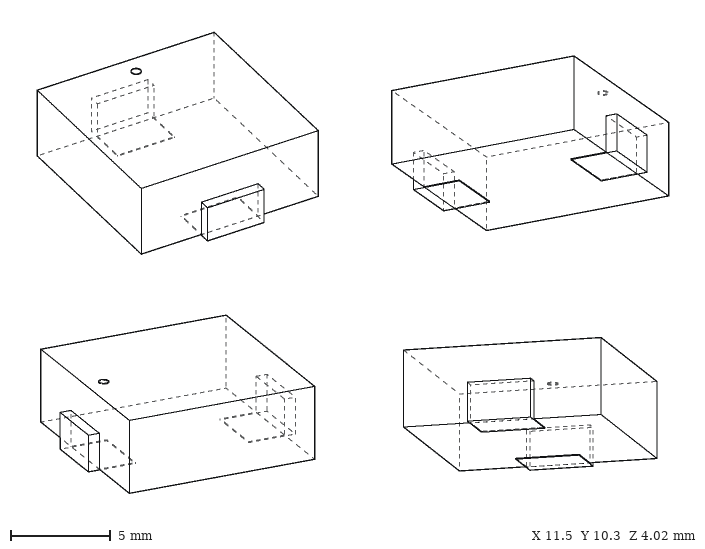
import cadquery as cq

overall_length = 11.51
overall_height = 4.02
body_side = 10.31

terminal_width = 3.3
terminal_height = 2.0
foot_length = 2.6
standoff = 0.05
plate_thickness = (overall_length - body_side) / 2

dot_diameter = 0.52
dot_depth = 0.05
dot_x = -4.12


def make_dot():
    """Disc whose top lies level with the top face of the body."""
    return (
        cq.Workplane("XY", origin=(dot_x, 0, overall_height - dot_depth))
        .circle(dot_diameter / 2)
        .extrude(dot_depth)
    )


def make_body(dot):
    """Square block raised by the terminal feet, with a recess for the dot."""
    block = (
        cq.Workplane("XY", origin=(0, 0, standoff))
        .rect(body_side, body_side)
        .extrude(overall_height - standoff)
    )
    return block.cut(dot)


def make_terminal(side):
    """L-shaped terminal on the -X (side = -1) or +X (side = 1) end."""
    outer_x = side * overall_length / 2
    face_x = outer_x - side * plate_thickness
    foot_x = outer_x - side * foot_length
    return (
        cq.Workplane("XZ")
        .moveTo(outer_x, 0)
        .lineTo(outer_x, terminal_height)
        .lineTo(face_x, terminal_height)
        .lineTo(face_x, standoff)
        .lineTo(foot_x, standoff)
        .lineTo(foot_x, 0)
        .close()
        .extrude(terminal_width / 2, both=True)
    )


dot = make_dot()
body = make_body(dot)
terminals = [make_terminal(side) for side in (-1, 1)]

result = cq.Compound.makeCompound(
    [body.val(), dot.val(), *[terminal.val() for terminal in terminals]]
)